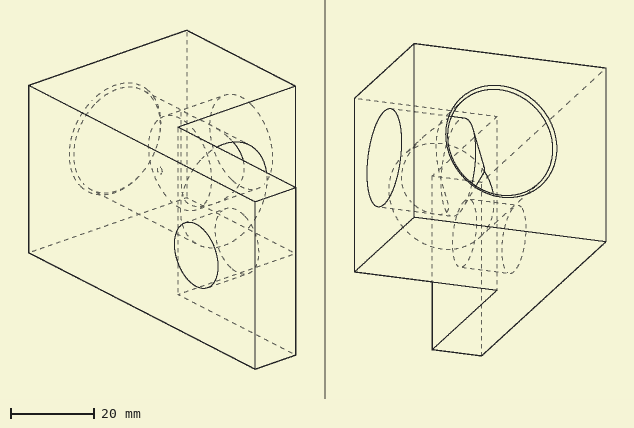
import cadquery as cq
import math

LENGTH = 85.7
DEPTH = 49.3
HEIGHT = 44.5

BLOCK_LENGTH = 41.1
TONGUE_THICKNESS = 12.7

BORE_DIAMETER = 27.0
BORE_CHAMFER = 0.8
BORE_Y = 26.9

BOLT_HOLE_DIAMETER = 16.5
BOLT_HOLE_X = (BLOCK_LENGTH + LENGTH) / 2

SCREW_DIAMETER = 23.8
SCREW_X = BLOCK_LENGTH / 2
SCREW_SHOULDER_Y = 30.25
POINT_RADIUS = 0.9
POINT_ANGLE = 30.0

MID_Z = HEIGHT / 2
SCREW_RADIUS = SCREW_DIAMETER / 2
SCREW_TIP_Y = SCREW_SHOULDER_Y - (SCREW_RADIUS - POINT_RADIUS) * math.tan(math.radians(POINT_ANGLE))


def make_bore():
    """Cutter for the cable bore, flared by a chamfer at the -X face."""
    bore_radius = BORE_DIAMETER / 2
    profile = [
        (0, 0),
        (0, bore_radius + BORE_CHAMFER),
        (BORE_CHAMFER, bore_radius),
        (BLOCK_LENGTH, bore_radius),
        (BLOCK_LENGTH, 0),
    ]
    bore = cq.Workplane("XY").polyline(profile).close().revolve(360, (0, 0), (1, 0))
    return bore.translate((0, BORE_Y, MID_Z))


def make_cylinder_along_y(x, diameter, start_y, end_y):
    """Cylinder at mid height, parallel to Y."""
    plane = cq.Workplane("XZ", origin=(x, end_y, MID_Z))
    return plane.circle(diameter / 2).extrude(end_y - start_y)


def make_lug():
    """L-shaped lug with the cable bore, the screw hole and the bolt hole."""
    outline = [
        (0, 0),
        (LENGTH, 0),
        (LENGTH, TONGUE_THICKNESS),
        (BLOCK_LENGTH, TONGUE_THICKNESS),
        (BLOCK_LENGTH, DEPTH),
        (0, DEPTH),
    ]
    lug = cq.Workplane("XY").polyline(outline).close().extrude(HEIGHT)
    bolt_hole = make_cylinder_along_y(BOLT_HOLE_X, BOLT_HOLE_DIAMETER, 0, TONGUE_THICKNESS)
    screw_hole = make_cylinder_along_y(SCREW_X, SCREW_DIAMETER, BORE_Y, DEPTH)
    return lug.cut(make_bore()).cut(bolt_hole).cut(screw_hole)


def make_screw():
    """Clamping screw, flush with the +Y face, with a blunt conical point."""
    profile = [
        (0, SCREW_TIP_Y),
        (POINT_RADIUS, SCREW_TIP_Y),
        (SCREW_RADIUS, SCREW_SHOULDER_Y),
        (SCREW_RADIUS, DEPTH),
        (0, DEPTH),
    ]
    screw = cq.Workplane("XY").polyline(profile).close().revolve(360, (0, 0), (0, 1))
    return screw.translate((SCREW_X, 0, MID_Z))


lug = make_lug()
screw = make_screw()

result = cq.Compound.makeCompound([lug.val(), screw.val()])